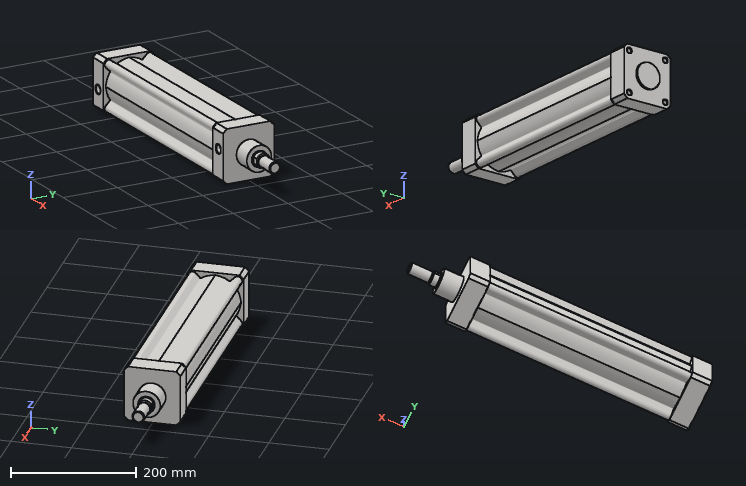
import cadquery as cq
import math

total_length = 518.0

cap_side = 94.0
cap_corner_radius = 61.5
cap_length = 34.5
spigot_length = 3.5
spigot_diameter = 45.0
boss_length = 34.0
lip_length = 1.5
lip_diameter = 27.5

port_diameter = 14.5
port_depth = 20.5
port_offset = 9.5
port_shift = 1.0
screw_spacing = 72.0
screw_hole_diameter = 8.5
screw_hole_depth = 15.5
hole_chamfer = 1.0

barrel_length = 358.5
barrel_radius = 42.0
ridge_angle = 12.0
lobe_radius = 7.0
lobe_offset = 37.5
lobe_root_fillet = 1.0
edge_tolerance = 0.05

rod_diameter = 25.0
wrench_width = 22.5
wrench_start = 1.0
collar_length = 11.0
neck_length = 1.0
thread_diameter = 20.0
thread_chamfer = 1.5
neck_diameter = thread_diameter - 2 * thread_chamfer

rear_cap_start = spigot_length
barrel_start = rear_cap_start + cap_length
front_cap_start = barrel_start + barrel_length
boss_start = front_cap_start + cap_length
lip_start = boss_start + boss_length
lip_end = lip_start + lip_length
collar_end = lip_end + collar_length
thread_start = collar_end + neck_length


def section(x):
    """Sketch plane across the axis at station x, with local x along Y and local y along Z."""
    return cq.Workplane("YZ", origin=(x, 0, 0))


def cylinder(x, diameter, length):
    """Cylinder on the axis, running in +X from station x."""
    return section(x).circle(diameter / 2).extrude(length)


def cap_block(x):
    """Square block with turned corners."""
    block = section(x).rect(cap_side, cap_side).extrude(cap_length)
    return block.intersect(cylinder(x, 2 * cap_corner_radius, cap_length))


def countersunk_hole(x, y, z, diameter, depth, direction):
    """Cutter for a blind hole with a chamfered rim, starting at a point on a flat face."""
    start = cq.Vector(x, y, z)
    drill = cq.Solid.makeCylinder(diameter / 2, depth, start, direction)
    rim = cq.Solid.makeCone(diameter / 2 + hole_chamfer, diameter / 2, hole_chamfer, start, direction)
    return drill.fuse(rim)


def port(x, height):
    """Cutter for a port in the -Y face of a cap."""
    return countersunk_hole(x, -cap_side / 2, height, port_diameter, port_depth, cq.Vector(0, 1, 0))


def make_rear_cap():
    cap = cap_block(rear_cap_start).union(cylinder(0, spigot_diameter, spigot_length))
    for y in (-screw_spacing / 2, screw_spacing / 2):
        for z in (-screw_spacing / 2, screw_spacing / 2):
            screw_hole = countersunk_hole(
                rear_cap_start, y, z, screw_hole_diameter, screw_hole_depth, cq.Vector(1, 0, 0)
            )
            cap = cap.cut(cq.Workplane(screw_hole))
    port_x = rear_cap_start + cap_length / 2 - port_shift
    return cap.cut(cq.Workplane(port(port_x, -port_offset)))


def is_lobe_root(edge):
    """True for an edge where a lobe flank meets the round wall."""
    middle = edge.Center()
    on_wall = math.isclose(math.hypot(middle.y, middle.z), barrel_radius, abs_tol=edge_tolerance)
    flank_distance = abs(abs(middle.y) - abs(middle.z)) / math.sqrt(2)
    return on_wall and math.isclose(flank_distance, lobe_radius, abs_tol=edge_tolerance)


def make_barrel():
    barrel = cylinder(barrel_start, 2 * barrel_radius, barrel_length)

    slot_length = 2 * (lobe_offset * math.sqrt(2) + lobe_radius)
    for angle in (45, -45):
        lobe_pair = section(barrel_start).slot2D(slot_length, 2 * lobe_radius, angle).extrude(barrel_length)
        barrel = barrel.union(lobe_pair)
    barrel = barrel.edges("|X").filter(is_lobe_root).fillet(lobe_root_fillet)

    tangent_y = barrel_radius * math.sin(math.radians(ridge_angle))
    tangent_z = barrel_radius * math.cos(math.radians(ridge_angle))
    ridge_peak = barrel_radius / math.cos(math.radians(ridge_angle))
    ridge = (
        section(barrel_start)
        .polyline([(0, 0), (tangent_y, tangent_z), (0, ridge_peak), (-tangent_y, tangent_z)])
        .close()
        .extrude(barrel_length)
    )
    for quarter in range(4):
        barrel = barrel.union(ridge.rotate((0, 0, 0), (1, 0, 0), 90 * quarter))
    return barrel


def make_front_cap():
    cap = (
        cap_block(front_cap_start)
        .union(cylinder(boss_start, spigot_diameter, boss_length))
        .union(cylinder(lip_start, lip_diameter, lip_length))
    )
    rod_bore = cylinder(front_cap_start, rod_diameter, lip_end - front_cap_start)
    port_x = front_cap_start + cap_length / 2 + port_shift
    return cap.cut(rod_bore).cut(cq.Workplane(port(port_x, port_offset)))


def make_piston_rod():
    thread = cylinder(thread_start, thread_diameter, total_length - thread_start)
    thread = thread.faces("<X or >X").chamfer(thread_chamfer)
    rod = (
        cylinder(front_cap_start, rod_diameter, collar_end - front_cap_start)
        .union(cylinder(collar_end, neck_diameter, neck_length))
        .union(thread)
    )
    wrench_length = collar_length - wrench_start
    flat_x = collar_end - wrench_length / 2
    for side in (-1, 1):
        flat_cutter = cq.Workplane("XY").box(wrench_length, rod_diameter, rod_diameter)
        flat_y = side * (wrench_width + rod_diameter) / 2
        rod = rod.cut(flat_cutter.translate((flat_x, flat_y, 0)))
    return rod


rear_cap = make_rear_cap()
barrel = make_barrel()
front_cap = make_front_cap()
piston_rod = make_piston_rod()

result = cq.Compound.makeCompound([rear_cap.val(), barrel.val(), front_cap.val(), piston_rod.val()])